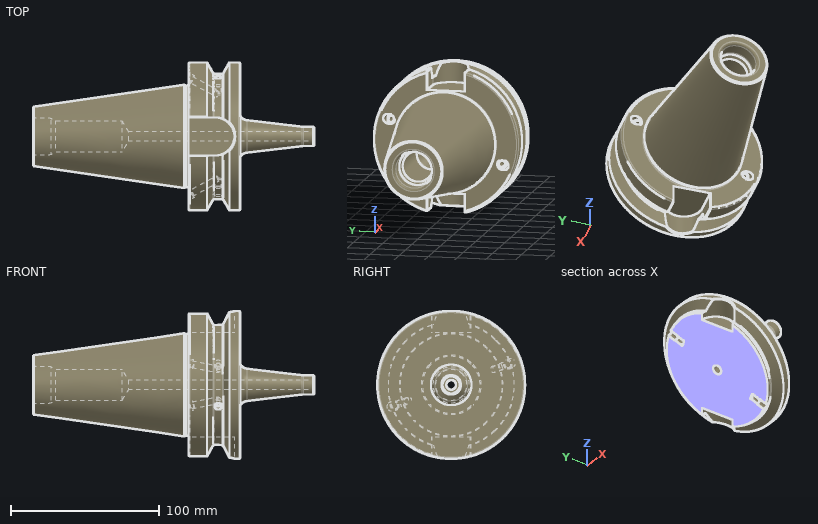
import cadquery as cq
import math

taper_length = 101.8
gauge_diameter = 69.85
taper_ratio = 7 / 24
projection = 88.0
gauge_radius = gauge_diameter / 2
small_end_x = -taper_length
small_end_radius = gauge_radius - taper_length * taper_ratio / 2
small_end_chamfer = 0.7

relief_depth = 0.5
relief_lead_in = 1.2
relief_corner_radius = 0.5

flange_start = 3.0
flange_length = 35.0
flange_end = flange_start + flange_length
flange_radius = 50.0
flange_edge_round = 1.2
groove_radius = 42.5
groove_center_x = flange_start + 20.1
groove_floor_width = 6.4
groove_corner_radius = 0.8
groove_half_angle = math.radians(30)
groove_flank_length = (flange_radius - groove_radius) * math.tan(groove_half_angle)

slot_width = 25.7
slot_length = 31.1
slot_floor_z = 35.3
slot_edge_chamfer = 0.5

nose_blend_radius = 13.7
nose_blend_length = 4.4
nose_base_radius = 11.05
tip_radius = 6.6
tip_length = 7.4
tip_blend_length = 1.0
tip_blend_rise = 0.06
tip_chamfer = 0.8

counterbore_radius = 12.5
counterbore_depth = 10.5
counterbore_end_radius = 12.2
counterbore_taper_length = 1.5
bore_mouth_round = 2.0
thread_radius = 10.5
thread_lead_in_half_angle = 30.0
thread_depth = 60.0
drill_point_angle = 118.0
through_radius = 3.2

coolant_angle = 20.0
coolant_pitch_radius = 42.0
coolant_tilt = 30.0
coolant_mouth_diameter = 6.7
coolant_mouth_depth = 2.7
coolant_diameter = 4.5
plug_diameter = 4.8
plug_depth = 6.0
plug_pilot_diameter = 4.0


def make_body():
    """Revolve the outer contour of taper, flange and nose about X."""
    relief_radius = gauge_radius - relief_depth
    groove_start = groove_center_x - groove_floor_width / 2
    groove_end = groove_center_x + groove_floor_width / 2
    corner_setback = groove_corner_radius * math.tan(math.pi / 4 - groove_half_angle / 2)
    corner_on_flank = (
        corner_setback * math.sin(groove_half_angle),
        corner_setback * math.cos(groove_half_angle),
    )
    relief_corner = (flange_start - relief_corner_radius, relief_radius + relief_corner_radius)
    relief_corner_offset = relief_corner_radius * math.sqrt(0.5)
    contour = (
        cq.Workplane("XY")
        .moveTo(projection, 0)
        .lineTo(projection, tip_radius - tip_chamfer)
        .lineTo(projection - tip_chamfer, tip_radius)
        .lineTo(projection - tip_length, tip_radius)
        .tangentArcPoint((-tip_blend_length, tip_blend_rise))
        .lineTo(flange_end + nose_blend_length, nose_base_radius)
        .tangentArcPoint((flange_end, nose_blend_radius), relative=False)
        .lineTo(flange_end, flange_radius - flange_edge_round)
        .tangentArcPoint((flange_end - flange_edge_round, flange_radius), relative=False)
        .lineTo(groove_end + groove_flank_length, flange_radius)
        .lineTo(groove_end + corner_on_flank[0], groove_radius + corner_on_flank[1])
        .tangentArcPoint((groove_end - corner_setback, groove_radius), relative=False)
        .lineTo(groove_start + corner_setback, groove_radius)
        .tangentArcPoint(
            (groove_start - corner_on_flank[0], groove_radius + corner_on_flank[1]), relative=False
        )
        .lineTo(groove_start - groove_flank_length, flange_radius)
        .lineTo(flange_start + flange_edge_round, flange_radius)
        .tangentArcPoint((flange_start, flange_radius - flange_edge_round), relative=False)
        .lineTo(flange_start, relief_corner[1])
        .threePointArc(
            (relief_corner[0] + relief_corner_offset, relief_corner[1] - relief_corner_offset),
            (relief_corner[0], relief_radius),
        )
        .lineTo(relief_lead_in, relief_radius)
        .lineTo(0, gauge_radius)
        .lineTo(small_end_x + small_end_chamfer, small_end_radius + small_end_chamfer * taper_ratio / 2)
        .lineTo(small_end_x, small_end_radius - small_end_chamfer)
        .lineTo(small_end_x, 0)
        .close()
    )
    return contour.revolve(360, (0, 0, 0), (1, 0, 0))


def make_bore():
    """Counterbored drawbar bore with drill point, continued by the through hole."""
    thread_end = small_end_x + thread_depth
    counterbore_end = small_end_x + counterbore_depth
    point_length = (thread_radius - through_radius) / math.tan(math.radians(drill_point_angle / 2))
    lead_in_start = counterbore_end + counterbore_taper_length
    lead_in_half_angle = math.radians(thread_lead_in_half_angle)
    lead_in_length = (counterbore_end_radius - thread_radius) / math.tan(lead_in_half_angle)
    round_offset = bore_mouth_round * (1 - math.sqrt(0.5))
    contour = (
        cq.Workplane("XY")
        .moveTo(small_end_x, 0)
        .lineTo(small_end_x, counterbore_radius + bore_mouth_round)
        .threePointArc(
            (small_end_x + round_offset, counterbore_radius + round_offset),
            (small_end_x + bore_mouth_round, counterbore_radius),
        )
        .lineTo(counterbore_end, counterbore_radius)
        .lineTo(lead_in_start, counterbore_end_radius)
        .lineTo(lead_in_start + lead_in_length, thread_radius)
        .lineTo(thread_end, thread_radius)
        .lineTo(thread_end + point_length, through_radius)
        .lineTo(projection, through_radius)
        .lineTo(projection, 0)
        .close()
    )
    return contour.revolve(360, (0, 0, 0), (1, 0, 0))


def make_drive_slot():
    """Upper drive slot: open at the flange face, round at its far end."""
    slot_radius = slot_width / 2
    slot_end = flange_start + slot_length
    return (
        cq.Workplane("XY", origin=(0, 0, slot_floor_z))
        .moveTo(0, -slot_radius)
        .lineTo(slot_end - slot_radius, -slot_radius)
        .threePointArc((slot_end, 0), (slot_end - slot_radius, slot_radius))
        .lineTo(0, slot_radius)
        .close()
        .extrude(flange_radius)
    )


def break_slot_edges(body):
    """Chamfer the slot walls where they meet the flange rim and the taper-side flange face."""
    tolerance = 1e-3
    slot_radius = slot_width / 2
    arc_center_x = flange_start + slot_length - slot_radius
    groove_start = groove_center_x - groove_floor_width / 2
    front_rim_end = groove_start - groove_flank_length

    def is_on_broken_line(point):
        on_side = abs(abs(point.y) - slot_radius) < tolerance
        if point.x < front_rim_end + tolerance:
            return on_side
        on_arc = abs(math.hypot(point.x - arc_center_x, point.y) - slot_radius) < tolerance
        on_rim = math.hypot(point.y, point.z) > flange_radius - tolerance
        return on_arc and on_rim

    def is_broken(edge):
        above_floor = abs(edge.Center().z) > slot_floor_z + tolerance
        return above_floor and all(is_on_broken_line(edge.positionAt(t)) for t in (0, 0.5, 1))

    broken_edges = [edge for edge in body.edges().vals() if is_broken(edge)]
    return body.newObject(broken_edges).chamfer(slot_edge_chamfer)


def make_drill(start, direction, diameter, length):
    return cq.Workplane(cq.Solid.makeCylinder(diameter / 2, length, start, direction))


def make_coolant_passage():
    """Stepped inclined hole from the flange face, met by a stepped radial hole from the groove floor."""
    tilt = math.radians(coolant_tilt)
    axial_run = groove_center_x - flange_start
    inclined_length = axial_run / math.cos(tilt)
    inward = cq.Vector(math.cos(tilt), -math.sin(tilt), 0)
    entry = cq.Vector(flange_start, coolant_pitch_radius, 0)
    overrun = coolant_mouth_diameter * math.tan(tilt)
    mouth = make_drill(
        entry - inward * overrun, inward, coolant_mouth_diameter, overrun + coolant_mouth_depth
    )
    inclined = make_drill(entry, inward, coolant_diameter, inclined_length)

    meeting_radius = coolant_pitch_radius - axial_run * math.tan(tilt)
    meeting_point = cq.Vector(groove_center_x, meeting_radius, 0)
    plug_seat = cq.Vector(groove_center_x, groove_radius - plug_depth, 0)
    outward = cq.Vector(0, 1, 0)
    pilot = make_drill(meeting_point, outward, plug_pilot_diameter, groove_radius - meeting_radius)
    plug = make_drill(plug_seat, outward, plug_diameter, flange_radius - plug_seat.y)
    return mouth.union(inclined).union(pilot).union(plug)


def around_axis(shape, angle):
    """Turn a shape about the part axis by an angle in degrees."""
    return shape.rotate((0, 0, 0), (1, 0, 0), angle)


result = make_body().cut(make_bore())
for half_turn in (0, 180):
    result = result.cut(around_axis(make_drive_slot(), half_turn))
result = break_slot_edges(result)
for half_turn in (0, 180):
    result = result.cut(around_axis(make_coolant_passage(), half_turn + coolant_angle))